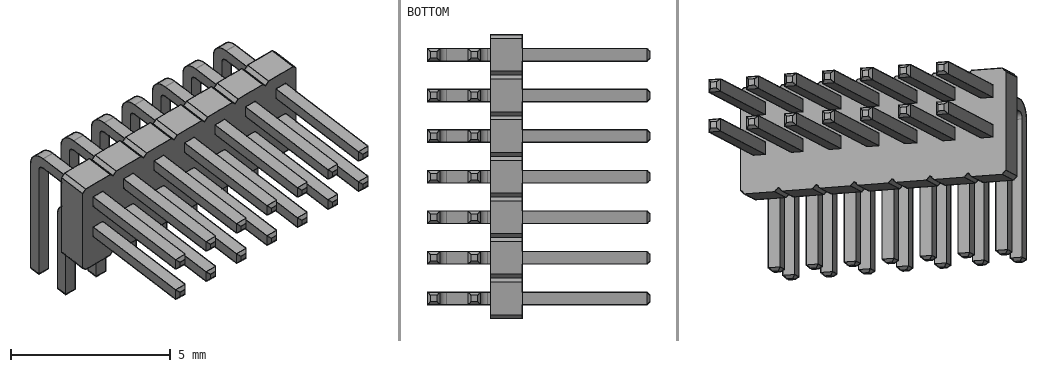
import cadquery as cq


position_count = 7
row_count = 2
bar_length = 8.89
pitch = bar_length / position_count
bar_thickness = 1.0
bar_height = 3.4
bar_start_x = 1.97
overall_height = 5.63
notch_depth = 0.125

overall_depth = 6.97
pin_width = 0.4
bend_inner_radius = 0.205
bend_outer_radius = bend_inner_radius + pin_width
tip_chamfer = 0.1
pin_inset_from_top = 0.52
outer_pin_top = overall_height - pin_inset_from_top


def make_bar_segment(center_y):
    """One pitch of the bar; the chamfered edges of neighbours form V notches."""
    return (
        cq.Workplane("XY")
        .box(bar_thickness, pitch, bar_height, centered=(False, True, False))
        .edges("|X")
        .chamfer(notch_depth)
        .translate((bar_start_x, center_y, overall_height - bar_height))
    )


def make_pin(row, center_y):
    """Bent square pin; each further row is one pitch inward and one pitch lower."""
    back_x = row * pitch
    top_z = outer_pin_top - row * pitch
    front_x = back_x + pin_width
    under_z = top_z - pin_width
    pin = (
        cq.Workplane("XZ", origin=(0, center_y, 0))
        .moveTo(back_x, 0)
        .lineTo(back_x, top_z - bend_outer_radius)
        .radiusArc((back_x + bend_outer_radius, top_z), bend_outer_radius)
        .lineTo(overall_depth, top_z)
        .lineTo(overall_depth, under_z)
        .lineTo(front_x + bend_inner_radius, under_z)
        .radiusArc((front_x, under_z - bend_inner_radius), -bend_inner_radius)
        .lineTo(front_x, 0)
        .close()
        .extrude(pin_width / 2, both=True)
    )
    return pin.faces("<Z or >X").chamfer(tip_chamfer)


result = cq.Workplane("XY")
for position in range(position_count):
    y = (position + 0.5) * pitch - bar_length / 2
    result = result.union(make_bar_segment(y))
    for pin_row in range(row_count):
        result = result.union(make_pin(pin_row, y))